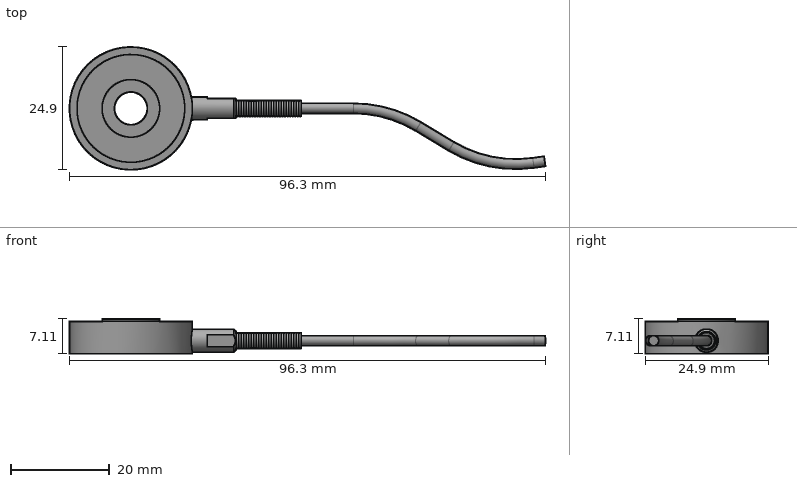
import cadquery as cq
import math

BODY_DIAMETER = 24.89
RIM_HEIGHT = 6.6
HUB_HEIGHT = 7.11
HUB_DIAMETER = 11.66
BORE_DIAMETER = 6.58
RECESS_DIAMETER = 21.82
RECESS_FLOOR_HEIGHT = 6.22

OUTLET_AXIS_HEIGHT = 2.69
BOSS_DIAMETER = 4.7
BOSS_START_X = BODY_DIAMETER / 4
BOSS_END_X = 21.3
BOSS_CHAMFER = 0.51
FLAT_START_X = 15.5
FLAT_SPACING = 4.06

RING_PITCH = 0.508
RING_COUNT = 26
RING_VALLEY_DIAMETER = 2.79
RELIEF_END_X = BOSS_END_X + RING_COUNT * RING_PITCH

CABLE_DIAMETER = 2.08
CABLE_BEND_START_X = 45.0
CABLE_BEND_RADIUS = 25.4
FIRST_BEND_ANGLE = 31.0
SECOND_BEND_ANGLE = 39.0
MIDDLE_STRAIGHT_LENGTH = 7.8
CABLE_TIP_X = 83.885


def make_body():
    body = cq.Workplane("XY").circle(BODY_DIAMETER / 2).extrude(RIM_HEIGHT)
    recess = (
        cq.Workplane("XY")
        .workplane(offset=RECESS_FLOOR_HEIGHT)
        .circle(RECESS_DIAMETER / 2)
        .extrude(HUB_HEIGHT - RECESS_FLOOR_HEIGHT)
    )
    hub = cq.Workplane("XY").circle(HUB_DIAMETER / 2).extrude(HUB_HEIGHT)
    return body.cut(recess).union(hub)


def make_bore():
    return cq.Workplane("XY").circle(BORE_DIAMETER / 2).extrude(HUB_HEIGHT)


def outlet_plane(x):
    """Workplane across the outlet axis at position x, facing +X."""
    return cq.Workplane("YZ", origin=(x, 0, OUTLET_AXIS_HEIGHT))


def make_boss():
    """Chamfered round boss with a flat on each side, facing -Y and +Y."""
    boss = (
        outlet_plane(BOSS_START_X)
        .circle(BOSS_DIAMETER / 2)
        .extrude(BOSS_END_X - BOSS_START_X)
        .faces(">X")
        .chamfer(BOSS_CHAMFER)
    )
    flat_depth = (BOSS_DIAMETER - FLAT_SPACING) / 2
    flat_offset = (FLAT_SPACING + flat_depth) / 2
    for side in (-1, 1):
        flat = (
            outlet_plane(FLAT_START_X)
            .center(side * flat_offset, 0)
            .rect(flat_depth, BOSS_DIAMETER)
            .extrude(BOSS_END_X - FLAT_START_X)
        )
        boss = boss.cut(flat)
    return boss


def make_strain_relief():
    valley_radius = RING_VALLEY_DIAMETER / 2
    crest_radius = valley_radius + RING_PITCH / 2
    profile = (
        cq.Workplane("XY", origin=(0, 0, OUTLET_AXIS_HEIGHT))
        .moveTo(BOSS_END_X, 0)
        .lineTo(BOSS_END_X, valley_radius)
    )
    for ring in range(RING_COUNT):
        ring_start = BOSS_END_X + ring * RING_PITCH
        profile = profile.threePointArc(
            (ring_start + RING_PITCH / 2, crest_radius),
            (ring_start + RING_PITCH, valley_radius),
        )
    return profile.lineTo(RELIEF_END_X, 0).close().revolve(360, (0, 0, 0), (1, 0, 0))


def point_on_bend(center, radial_angle):
    """Point on the cable centreline bend, radial_angle in degrees from +X."""
    angle = math.radians(radial_angle)
    x = center[0] + CABLE_BEND_RADIUS * math.cos(angle)
    y = center[1] + CABLE_BEND_RADIUS * math.sin(angle)
    return (x, y)


def make_cable():
    first_center = (CABLE_BEND_START_X, -CABLE_BEND_RADIUS)
    first_middle = point_on_bend(first_center, 90 - FIRST_BEND_ANGLE / 2)
    first_end = point_on_bend(first_center, 90 - FIRST_BEND_ANGLE)

    slope = math.radians(FIRST_BEND_ANGLE)
    second_start = (
        first_end[0] + MIDDLE_STRAIGHT_LENGTH * math.cos(slope),
        first_end[1] - MIDDLE_STRAIGHT_LENGTH * math.sin(slope),
    )

    second_center = (
        second_start[0] + CABLE_BEND_RADIUS * math.sin(slope),
        second_start[1] + CABLE_BEND_RADIUS * math.cos(slope),
    )
    second_start_angle = 270 - FIRST_BEND_ANGLE
    second_middle = point_on_bend(second_center, second_start_angle + SECOND_BEND_ANGLE / 2)
    second_end = point_on_bend(second_center, second_start_angle + SECOND_BEND_ANGLE)

    tip_slope = math.radians(SECOND_BEND_ANGLE - FIRST_BEND_ANGLE)
    tip_x = CABLE_TIP_X - CABLE_DIAMETER / 2 * math.sin(tip_slope)
    tip_y = second_end[1] + (tip_x - second_end[0]) * math.tan(tip_slope)

    path = (
        cq.Workplane("XY", origin=(0, 0, OUTLET_AXIS_HEIGHT))
        .moveTo(RELIEF_END_X, 0)
        .lineTo(CABLE_BEND_START_X, 0)
        .threePointArc(first_middle, first_end)
        .lineTo(*second_start)
        .threePointArc(second_middle, second_end)
        .lineTo(tip_x, tip_y)
    )
    return outlet_plane(RELIEF_END_X).circle(CABLE_DIAMETER / 2).sweep(path)


sensor = make_body().union(make_boss()).cut(make_bore())
result = sensor.union(make_strain_relief()).union(make_cable())